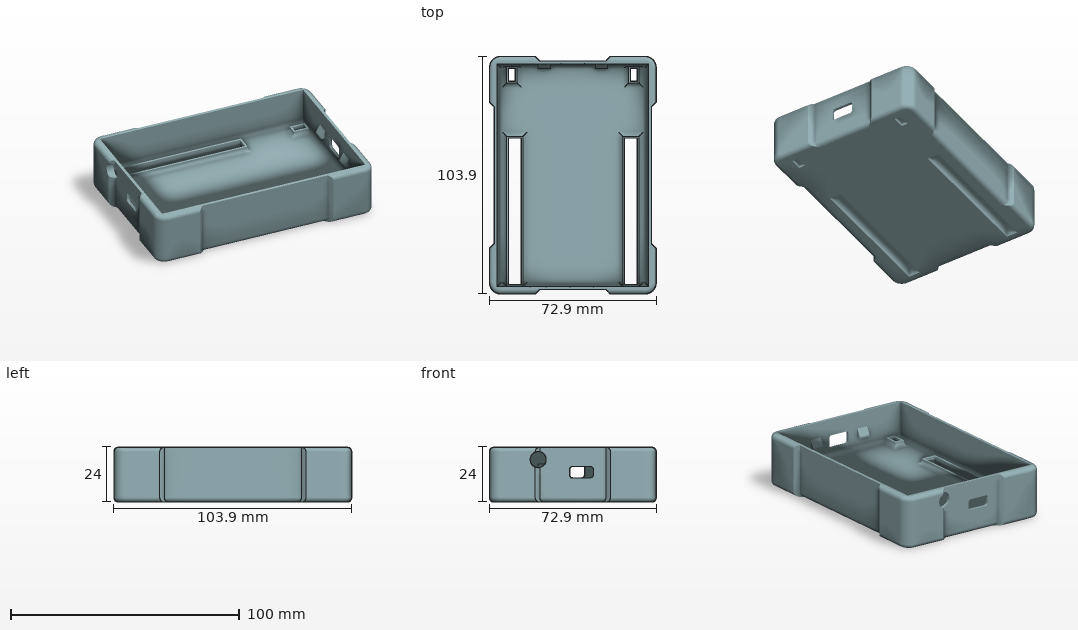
import cadquery as cq
import math

OUTER_X = 72.9
OUTER_Y = 103.9
HEIGHT = 24.0

BUMPER_THICKNESS = 2.0
BUMPER_LENGTH = 20.0
BUMPER_CORNER_RADIUS = 5.0
EDGE_RADIUS = 2.0

BODY_X = OUTER_X - 2 * BUMPER_THICKNESS
BODY_Y = OUTER_Y - 2 * BUMPER_THICKNESS
BODY_CORNER_RADIUS = BUMPER_CORNER_RADIUS - BUMPER_THICKNESS
WALL = 1.3
FLOOR_Z = 7.0
COVE_RADIUS = 2.0
COVE_MID = COVE_RADIUS * (1 - math.sqrt(0.5))
CAVITY_X = BODY_X - 2 * WALL
CAVITY_Y = BODY_Y - 2 * WALL

COLLAR_WALL = 0.85
COLLAR_TOP_Z = FLOOR_Z + 2.5
SLOT_OUTER_X = 28.1
LONG_SLOT_WIDTH = 5.45
LONG_SLOT_FRONT_Y = -47.75
LONG_SLOT_BACK_Y = 16.15
SHORT_SLOT_WIDTH = 2.9
SHORT_SLOT_FRONT_Y = 41.1
SHORT_SLOT_BACK_Y = 46.65

WINDOW_RADIUS = 1.25
WINDOW_BOTTOM_Z = 10.65
FRONT_WINDOW_X = 3.8
FRONT_WINDOW_WIDTH = 10.3
FRONT_WINDOW_HEIGHT = 4.9
BACK_WINDOW_WIDTH = 10.2
BACK_WINDOW_HEIGHT = 5.8
ROUND_HOLE_DIAMETER = 7.0
ROUND_HOLE_X = -15.15
ROUND_HOLE_Z = 18.6

CATCH_X = 12.5
CATCH_WIDTH = 5.25
CATCH_TOP_Z = 16.65
CATCH_HEIGHT = 4.2
CATCH_DEPTH = 1.95
CATCH_LIP_HEIGHT = 0.8


def rounded_block(size_x, size_y, corner_radius):
    """Full-height block with rounded vertical corners."""
    return cq.Workplane("XY").rect(size_x, size_y).extrude(HEIGHT).edges("|Z").fillet(corner_radius)


def make_body():
    body = rounded_block(BODY_X, BODY_Y, BODY_CORNER_RADIUS)
    return body.faces("<Z").edges().fillet(EDGE_RADIUS)


def make_bumpers():
    """Rounded envelope block kept only at its four corners, with 45 degree ends."""
    block = rounded_block(OUTER_X, OUTER_Y, BUMPER_CORNER_RADIUS)
    block = block.faces("<Z or >Z").edges().fillet(EDGE_RADIUS)
    half_x = OUTER_X / 2
    half_y = OUTER_Y / 2
    end_run = 2 * BUMPER_THICKNESS
    corner = (
        cq.Workplane("XY")
        .moveTo(half_x, half_y)
        .lineTo(half_x - BUMPER_LENGTH, half_y)
        .lineTo(half_x - BUMPER_LENGTH - end_run, half_y - end_run)
        .lineTo(half_x - end_run, half_y - BUMPER_LENGTH - end_run)
        .lineTo(half_x, half_y - BUMPER_LENGTH)
        .close()
        .extrude(HEIGHT)
    )
    corners = corner.union(corner.mirror("YZ"))
    corners = corners.union(corners.mirror("XZ"))
    return block.intersect(corners)


def coved_channel(plane, width, length):
    """Open-topped channel profile with rounded bottom corners, extruded both ways."""
    half = width / 2
    return (
        cq.Workplane(plane)
        .moveTo(-half, HEIGHT)
        .lineTo(-half, FLOOR_Z + COVE_RADIUS)
        .threePointArc((-half + COVE_MID, FLOOR_Z + COVE_MID), (-half + COVE_RADIUS, FLOOR_Z))
        .lineTo(half - COVE_RADIUS, FLOOR_Z)
        .threePointArc((half - COVE_MID, FLOOR_Z + COVE_MID), (half, FLOOR_Z + COVE_RADIUS))
        .lineTo(half, HEIGHT)
        .close()
        .extrude(length / 2, both=True)
    )


def make_cavity():
    """Two crossed channels leave square corners and mitred coves around the floor."""
    across = coved_channel("XZ", CAVITY_X, CAVITY_Y)
    along = coved_channel("YZ", CAVITY_Y, CAVITY_X)
    return across.intersect(along)


def flared_bar(plane, low, high, low_flare, high_flare):
    """Long bar spanning low to high, with a coved foot on the sides that are asked for."""
    spring_z = FLOOR_Z + COVE_RADIUS
    profile = cq.Workplane(plane).moveTo(low, COLLAR_TOP_Z)
    if low_flare:
        profile = profile.lineTo(low, spring_z)
        cove_middle = (low - COVE_MID, FLOOR_Z + COVE_MID)
        profile = profile.threePointArc(cove_middle, (low - COVE_RADIUS, FLOOR_Z))
    else:
        profile = profile.lineTo(low, FLOOR_Z)
    if high_flare:
        profile = profile.lineTo(high + COVE_RADIUS, FLOOR_Z)
        profile = profile.threePointArc((high + COVE_MID, FLOOR_Z + COVE_MID), (high, spring_z))
    else:
        profile = profile.lineTo(high, FLOOR_Z)
    return profile.lineTo(high, COLLAR_TOP_Z).close().extrude(OUTER_Y, both=True)


def make_collar(slot_width, front_y, back_y, front_flare, back_flare):
    """Raised collar on the +X side: a bar along Y crossed with a bar along X."""
    inner_x = SLOT_OUTER_X - slot_width - COLLAR_WALL
    across = flared_bar("XZ", inner_x, SLOT_OUTER_X + COLLAR_WALL, True, True)
    along = flared_bar("YZ", front_y, back_y, front_flare, back_flare)
    return across.intersect(along)


def make_slot(slot_width, front_y, back_y):
    return (
        cq.Workplane("XY")
        .center(SLOT_OUTER_X - slot_width / 2, (front_y + back_y) / 2)
        .rect(slot_width, back_y - front_y)
        .extrude(COLLAR_TOP_Z)
    )


def make_collars():
    long_collar = make_collar(
        LONG_SLOT_WIDTH, -CAVITY_Y / 2, LONG_SLOT_BACK_Y + COLLAR_WALL, False, True
    )
    short_collar = make_collar(
        SHORT_SLOT_WIDTH, SHORT_SLOT_FRONT_Y - COLLAR_WALL, SHORT_SLOT_BACK_Y + COLLAR_WALL, True, False
    )
    collars = long_collar.union(short_collar)
    return collars.union(collars.mirror("YZ"))


def make_slots():
    long_slot = make_slot(LONG_SLOT_WIDTH, LONG_SLOT_FRONT_Y, LONG_SLOT_BACK_Y)
    short_slot = make_slot(SHORT_SLOT_WIDTH, SHORT_SLOT_FRONT_Y, SHORT_SLOT_BACK_Y)
    slots = long_slot.union(short_slot)
    return slots.union(slots.mirror("YZ"))


def make_window(center_x, wall_y, width, height):
    depth = 4 * WALL
    return (
        cq.Workplane("XY")
        .box(width, depth, height, centered=(True, True, False))
        .edges("|Y")
        .fillet(WINDOW_RADIUS)
        .translate((center_x, wall_y, WINDOW_BOTTOM_Z))
    )


def make_round_hole():
    return (
        cq.Workplane("XZ", origin=(ROUND_HOLE_X, -CAVITY_Y / 2, ROUND_HOLE_Z))
        .circle(ROUND_HOLE_DIAMETER / 2)
        .extrude(2 * (WALL + BUMPER_THICKNESS))
    )


def make_catches():
    wall_y = CAVITY_Y / 2
    bottom_z = CATCH_TOP_Z - CATCH_HEIGHT
    catch = (
        cq.Workplane("YZ")
        .moveTo(wall_y, CATCH_TOP_Z)
        .lineTo(wall_y - CATCH_DEPTH, bottom_z + CATCH_LIP_HEIGHT)
        .lineTo(wall_y - CATCH_DEPTH, bottom_z)
        .lineTo(wall_y, bottom_z)
        .close()
        .extrude(CATCH_WIDTH / 2, both=True)
        .translate((CATCH_X, 0, 0))
    )
    return catch.union(catch.mirror("YZ"))


tray = make_body().union(make_bumpers()).cut(make_cavity())
tray = tray.union(make_collars()).cut(make_slots())
tray = tray.cut(make_window(FRONT_WINDOW_X, -BODY_Y / 2, FRONT_WINDOW_WIDTH, FRONT_WINDOW_HEIGHT))
tray = tray.cut(make_window(0, BODY_Y / 2, BACK_WINDOW_WIDTH, BACK_WINDOW_HEIGHT))
tray = tray.cut(make_round_hole())
result = tray.union(make_catches())